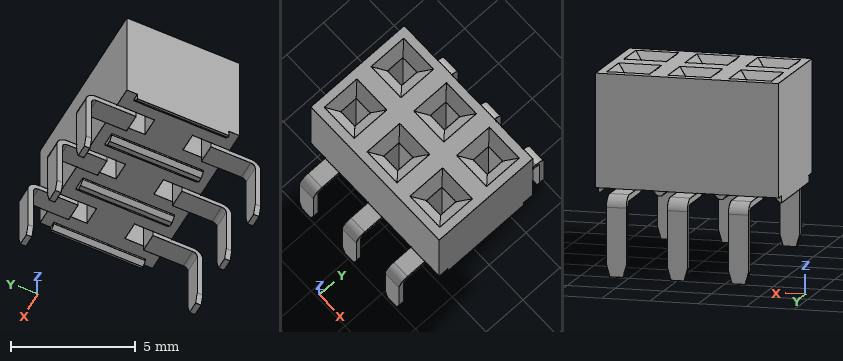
import cadquery as cq
import math

body_length = 7.62
lead_span = 7.87
total_height = 8.0

columns = 3
rows = 2
pitch = body_length / columns

body_width = rows * pitch
body_height = 4.69

hole_side = 0.83
funnel_side = 1.77
funnel_depth = (funnel_side - hole_side) / 2

rib_height = 0.29
rib_length = 4.12
rib_width = 0.58
rib_foot_width = 0.2
rib_straight_height = 0.1

lead_width = 0.83
lead_thickness = 0.26
inner_bend_radius = 0.21
outer_bend_radius = inner_bend_radius + lead_thickness
lead_drop = total_height - body_height
tip_length = 0.5
tip_width = 0.54

column_centers = [(i - (columns - 1) / 2) * pitch for i in range(columns)]
row_centers = [(i - (rows - 1) / 2) * pitch for i in range(rows)]
rib_centers = [(i - columns / 2) * pitch for i in range(columns + 1)]


def make_housing():
    """Rectangular block with its underside at Z = 0."""
    return cq.Workplane("XY").box(body_length, body_width, body_height, centered=(True, True, False))


def make_socket(x, y):
    """Cutting solid for one through hole and its entry funnel."""
    hole = cq.Workplane("XY").center(x, y).rect(hole_side, hole_side).extrude(body_height)
    funnel = (
        cq.Workplane("XY", origin=(x, y, body_height))
        .rect(funnel_side, funnel_side)
        .workplane(offset=-funnel_depth)
        .rect(hole_side, hole_side)
        .loft(ruled=True)
    )
    return hole.union(funnel)


def make_rib(x):
    """Standoff rib along Y, narrowing towards its foot."""
    half_width = rib_width / 2
    half_foot = rib_foot_width / 2
    outline = [
        (x - half_width, 0),
        (x - half_width, -rib_straight_height),
        (x - half_foot, -rib_height),
        (x + half_foot, -rib_height),
        (x + half_width, -rib_straight_height),
        (x + half_width, 0),
    ]
    return cq.Workplane("XZ").polyline(outline).close().extrude(rib_length / 2, both=True)


def make_ribs():
    """All ribs; the two end ribs are cut flush with the ends of the body."""
    ribs = make_rib(rib_centers[0])
    for x in rib_centers[1:]:
        ribs = ribs.union(make_rib(x))
    envelope = cq.Workplane("XY").box(body_length, body_width, 2 * rib_height)
    return ribs.intersect(envelope)


def make_lead():
    """Lead on the +Y side, centred on X = 0, from the outer hole wall to its tip."""
    outer_y = lead_span / 2
    inner_y = outer_y - lead_thickness
    root_y = row_centers[-1] + hole_side / 2
    bend_y = outer_y - outer_bend_radius
    bend_z = -outer_bend_radius
    diagonal = math.sqrt(0.5)
    outer_mid = (bend_y + outer_bend_radius * diagonal, bend_z + outer_bend_radius * diagonal)
    inner_mid = (bend_y + inner_bend_radius * diagonal, bend_z + inner_bend_radius * diagonal)
    strip = (
        cq.Workplane("YZ")
        .moveTo(root_y, 0)
        .lineTo(bend_y, 0)
        .threePointArc(outer_mid, (outer_y, bend_z))
        .lineTo(outer_y, -lead_drop)
        .lineTo(inner_y, -lead_drop)
        .lineTo(inner_y, bend_z)
        .threePointArc(inner_mid, (bend_y, -lead_thickness))
        .lineTo(root_y, -lead_thickness)
        .close()
        .extrude(lead_width / 2, both=True)
    )
    half_width = lead_width / 2
    half_tip = tip_width / 2
    face_outline = [
        (-half_width, 0),
        (-half_width, tip_length - lead_drop),
        (-half_tip, -lead_drop),
        (half_tip, -lead_drop),
        (half_width, tip_length - lead_drop),
        (half_width, 0),
    ]
    face = cq.Workplane("XZ").polyline(face_outline).close().extrude(-outer_y)
    return strip.intersect(face)


result = make_housing().union(make_ribs())

for x in column_centers:
    for y in row_centers:
        result = result.cut(make_socket(x, y))

back_lead = make_lead()
front_lead = back_lead.mirror("XZ")
for x in column_centers:
    result = result.union(back_lead.translate((x, 0, 0)))
    result = result.union(front_lead.translate((x, 0, 0)))